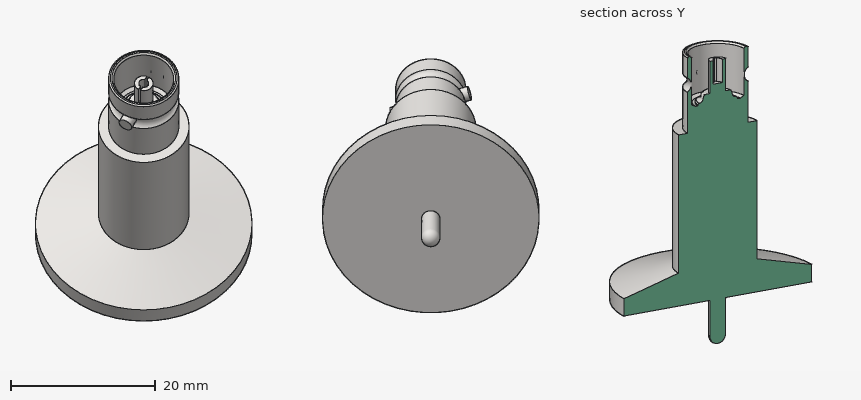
import cadquery as cq
import math

height = 42.65

flange_radius = 14.98
flange_bottom_z = 6.5
flange_rim_top_z = 9.1
tube_radius = 6.27
cone_top_radius = 6.35
cone_top_z = 11.35
tube_top_z = 31.55

pin_radius = 1.3

shell_radius = 4.85
rim_outer_bevel_width = 0.25
rim_outer_bevel_height = 0.13
groove_bottom_z = 37.5
groove_top_z = 39.55
groove_depth = 0.6

lug_radius = 1.0
lug_span = 11.22
lug_z = (groove_bottom_z + groove_top_z) / 2

bore_radius = 4.15
mouth_bevel = 0.25
seat_radius = 3.55
seat_top_z = 35.55
seat_bottom_z = 35.25

disc_radius = 3.15
disc_height = 0.35
disc_bevel = 0.15
neck_radius = 2.35
neck_base_fillet = 0.6
neck_top_fillet = 0.55

contact_radius = 1.3
contact_hole_radius = 0.7
contact_top_z = 41.45
contact_hole_depth = 3.4
slit_width = 0.3


def revolve_profile(profile):
    """Revolve a half profile, drawn with X as radius and Y as height, about the Z axis."""
    return profile.close().revolve(360, (0, 0, 0), (0, 1, 0))


def make_outer_body():
    """Lower pin, flange, tube and grooved connector shell, all solid."""
    tip_diagonal = pin_radius * math.sqrt(0.5)
    return revolve_profile(
        cq.Workplane("XZ")
        .moveTo(0, 0)
        .threePointArc((tip_diagonal, pin_radius - tip_diagonal), (pin_radius, pin_radius))
        .lineTo(pin_radius, flange_bottom_z)
        .lineTo(flange_radius, flange_bottom_z)
        .lineTo(flange_radius, flange_rim_top_z)
        .lineTo(cone_top_radius, cone_top_z)
        .lineTo(tube_radius, cone_top_z)
        .lineTo(tube_radius, tube_top_z)
        .lineTo(shell_radius, tube_top_z)
        .lineTo(shell_radius, groove_bottom_z)
        .threePointArc((shell_radius - groove_depth, lug_z), (shell_radius, groove_top_z))
        .lineTo(shell_radius, height - rim_outer_bevel_height)
        .lineTo(shell_radius - rim_outer_bevel_width, height)
        .lineTo(0, height)
    )


def make_lugs():
    """One bar along Y; cutting the socket bore leaves a lug on each side."""
    return (
        cq.Workplane("XZ")
        .center(0, lug_z)
        .circle(lug_radius)
        .extrude(lug_span / 2, both=True)
    )


def make_socket():
    """Space inside the connector shell."""
    return revolve_profile(
        cq.Workplane("XZ")
        .moveTo(0, seat_bottom_z)
        .lineTo(seat_radius, seat_bottom_z)
        .lineTo(bore_radius, seat_top_z)
        .lineTo(bore_radius, height - mouth_bevel)
        .lineTo(bore_radius + mouth_bevel, height)
        .lineTo(0, height)
    )


def make_insulator():
    """Bevelled disc with a filleted neck around the contact."""
    disc_top_z = seat_bottom_z + disc_height
    disc = (
        cq.Workplane("XY", origin=(0, 0, seat_bottom_z))
        .circle(disc_radius)
        .extrude(disc_height)
        .faces(">Z")
        .chamfer(disc_bevel)
    )
    shoulder_z = disc_top_z + neck_base_fillet
    arc_inset = 1 - math.sqrt(0.5)
    neck = revolve_profile(
        cq.Workplane("XZ")
        .moveTo(0, disc_top_z)
        .lineTo(neck_radius + neck_base_fillet, disc_top_z)
        .threePointArc(
            (neck_radius + arc_inset * neck_base_fillet, disc_top_z + arc_inset * neck_base_fillet),
            (neck_radius, shoulder_z),
        )
        .threePointArc(
            (neck_radius - arc_inset * neck_top_fillet, shoulder_z + (1 - arc_inset) * neck_top_fillet),
            (neck_radius - neck_top_fillet, shoulder_z + neck_top_fillet),
        )
        .lineTo(0, shoulder_z + neck_top_fillet)
    )
    return disc.union(neck)


def make_contact():
    """Hollow contact whose end is split along Y to the depth of its hole."""
    contact = (
        cq.Workplane("XY", origin=(0, 0, seat_bottom_z))
        .circle(contact_radius)
        .extrude(contact_top_z - seat_bottom_z)
    )
    opening = (
        cq.Workplane("XY", origin=(0, 0, contact_top_z))
        .circle(contact_hole_radius)
        .extrude(-contact_hole_depth)
    )
    slit = (
        cq.Workplane("XY", origin=(0, 0, contact_top_z))
        .rect(slit_width, 2 * contact_radius)
        .extrude(-contact_hole_depth)
    )
    return contact.cut(opening).cut(slit)


shell = make_outer_body().union(make_lugs()).cut(make_socket())
result = shell.union(make_insulator()).union(make_contact())